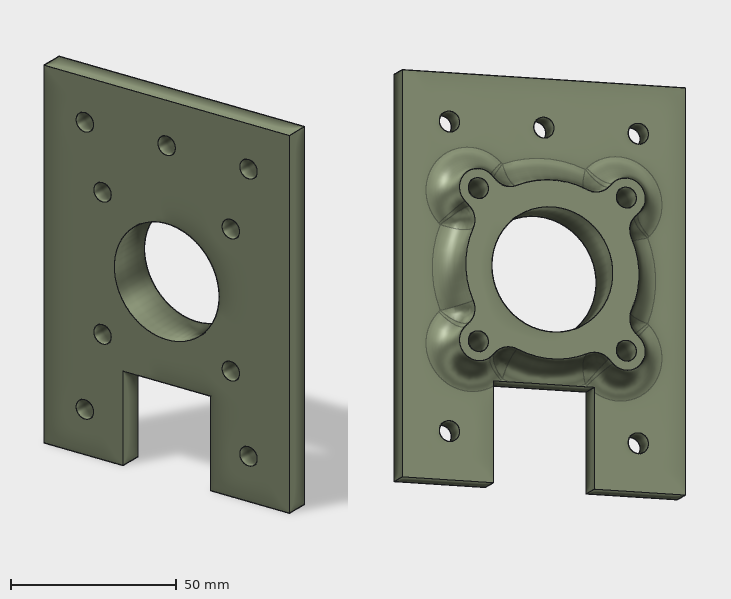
import cadquery as cq
import math

plate_width = 90.0
plate_height = 125.0
plate_thickness = 8.0
notch_width = 32.0
notch_depth = 31.2

boss_height = 8.0
hub_center_z = 65.0
hub_radius = 27.5
bore_diameter = 38.4
lug_offset = 23.5
lug_radius = 6.0
inner_corner_radius = 6.0
flare_gap = 0.01
flare_radius = boss_height - flare_gap

hole_diameter = 6.4
edge_hole_x = 30.0
edge_hole_margin = 15.0

total_depth = plate_thickness + boss_height
tolerance = 0.01


def block(width, depth, height):
    """Block standing on Z = 0 with its front at Y = 0, centred on X."""
    return cq.Workplane("XY").box(width, depth, height, centered=(True, False, False))


def back_workplane():
    """Sketch plane on the back of the plate, centred on the hub and facing +Y."""
    return cq.Workplane("XZ", origin=(0, plate_thickness, hub_center_z))


def make_boss():
    """Straight-sided boss with rounded corners where the lugs leave the hub."""
    boss = back_workplane().circle(hub_radius).extrude(-boss_height)
    slot_length = 2 * (lug_offset * math.sqrt(2) + lug_radius)
    for angle in (45, 135):
        lug_pair = back_workplane().slot2D(slot_length, 2 * lug_radius, angle).extrude(-boss_height)
        boss = boss.union(lug_pair)

    def is_inner_corner(edge):
        middle = edge.Center()
        return abs(math.hypot(middle.x, middle.z - hub_center_z) - hub_radius) < tolerance

    corners = [edge for edge in boss.edges("|Y").vals() if is_inner_corner(edge)]
    return boss.newObject(corners).fillet(inner_corner_radius)


def flare_base(body):
    """Concave fillet all around the foot of the boss."""
    boss_reach = lug_offset * math.sqrt(2) + lug_radius

    def is_foot(edge):
        middle = edge.Center()
        on_back = abs(middle.y - plate_thickness) < tolerance
        return on_back and math.hypot(middle.x, middle.z - hub_center_z) < boss_reach

    foot = [edge for edge in body.edges().vals() if is_foot(edge)]
    return body.newObject(foot).fillet(flare_radius)


def through_cylinders(points, diameter):
    return cq.Workplane("XZ").pushPoints(points).circle(diameter / 2).extrude(-total_depth)


top_hole_z = plate_height - edge_hole_margin
hole_points = [(0, top_hole_z)]
for x_sign in (-1, 1):
    hole_points += [
        (x_sign * edge_hole_x, edge_hole_margin),
        (x_sign * edge_hole_x, top_hole_z),
        (x_sign * lug_offset, hub_center_z - lug_offset),
        (x_sign * lug_offset, hub_center_z + lug_offset),
    ]

plate = block(plate_width, plate_thickness, plate_height)
flared_body = flare_base(plate.union(make_boss()))

result = (
    flared_body
    .cut(block(notch_width, total_depth, notch_depth))
    .cut(through_cylinders([(0, hub_center_z)], bore_diameter))
    .cut(through_cylinders(hole_points, hole_diameter))
)